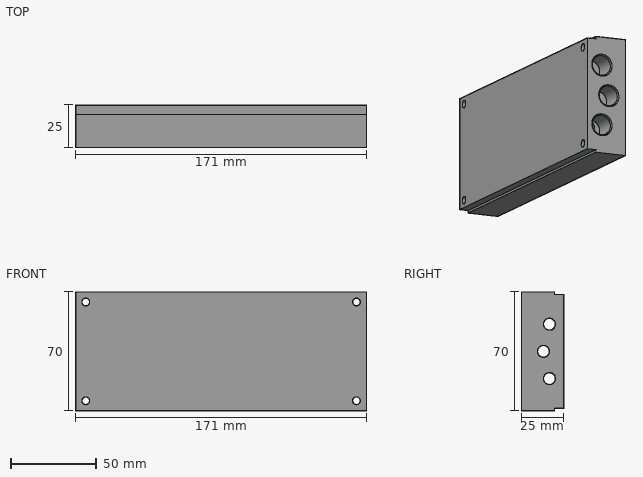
import cadquery as cq

LENGTH = 171.0
DEPTH = 25.0
HEIGHT = 70.0

STEP_DEPTH = 5.5
STEP_HEIGHT = 1.5

MOUNT_DIAMETER = 4.4
MOUNT_SPACING_X = 159.0
MOUNT_SPACING_Z = 58.0

PORT_DIAMETER = 11.8
PORT_DEPTH = 15.0
PORT_CHAMFER = 0.7
GALLERY_DIAMETER = 6.8
OUTER_PORT_Y = 3.0
OUTER_PORT_Z = 18.0
OUTER_GALLERY_Y = 4.0
OUTER_GALLERY_Z = 16.0
MIDDLE_PORT_Y = -1.5
MIDDLE_GALLERY_Y = 0.5

LINES = [
    (OUTER_PORT_Y, OUTER_PORT_Z, OUTER_GALLERY_Y, OUTER_GALLERY_Z),
    (MIDDLE_PORT_Y, 0, MIDDLE_GALLERY_Y, 0),
    (OUTER_PORT_Y, -OUTER_PORT_Z, OUTER_GALLERY_Y, -OUTER_GALLERY_Z),
]


def make_body():
    """Full-height block with a slightly lower band along its back face."""
    front_depth = DEPTH - STEP_DEPTH
    front = cq.Workplane("XY").box(LENGTH, front_depth, HEIGHT).translate((0, -STEP_DEPTH / 2, 0))
    back = cq.Workplane("XY").box(LENGTH, DEPTH, HEIGHT - 2 * STEP_HEIGHT)
    return front.union(back)


def end_cylinder(y, z, diameter, length):
    """Cylinder running from the -X end into the block."""
    return cq.Workplane("YZ", origin=(-LENGTH / 2, y, z)).circle(diameter / 2).extrude(length)


def port_cutter(y, z):
    """Flat-bottomed port with a chamfered mouth."""
    radius = PORT_DIAMETER / 2
    mouth = cq.Workplane(
        cq.Solid.makeCone(
            radius + PORT_CHAMFER,
            radius,
            PORT_CHAMFER,
            pnt=cq.Vector(-LENGTH / 2, y, z),
            dir=cq.Vector(1, 0, 0),
        )
    )
    return end_cylinder(y, z, PORT_DIAMETER, PORT_DEPTH).union(mouth)


def mount_holes():
    """Four corner holes through the depth."""
    return (
        cq.Workplane("XZ", origin=(0, DEPTH / 2, 0))
        .rect(MOUNT_SPACING_X, MOUNT_SPACING_Z, forConstruction=True)
        .vertices()
        .circle(MOUNT_DIAMETER / 2)
        .extrude(DEPTH)
    )


result = make_body().cut(mount_holes())
for port_y, port_z, gallery_y, gallery_z in LINES:
    result = result.cut(end_cylinder(gallery_y, gallery_z, GALLERY_DIAMETER, LENGTH))
    result = result.cut(port_cutter(port_y, port_z))